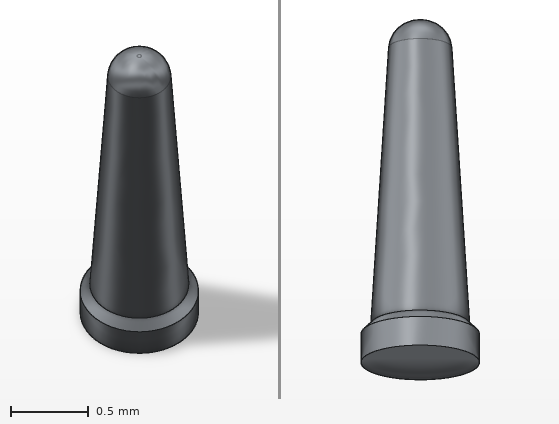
import cadquery as cq

total_height = 2.29
base_radius = 0.38
rim_height = 0.192
chamfer = 0.062
shaft_top_radius = 0.204
shaft_top_height = 2.114
tip_flat_radius = 0.014
dome_radius = 0.19

shaft_bottom_radius = base_radius - chamfer
shaft_bottom_height = rim_height + chamfer

profile = (
    cq.Workplane("XZ")
    .lineTo(base_radius, 0)
    .lineTo(base_radius, rim_height)
    .lineTo(shaft_bottom_radius, shaft_bottom_height)
    .lineTo(shaft_top_radius, shaft_top_height)
    .radiusArc((tip_flat_radius, total_height), -dome_radius)
    .lineTo(0, total_height)
    .close()
)

result = profile.revolve(360, (0, 0, 0), (0, 1, 0))